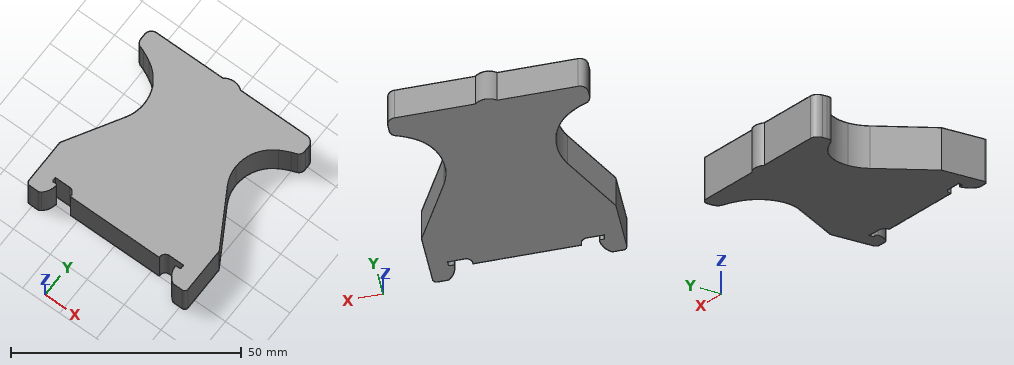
import cadquery as cq
import math

length = 46.4
width = 44.5
thickness = 10.0

head_y = 45.55
head_corner_radius = 1.85
head_side_low_y = 42.45
head_under_x = 21.35
head_under_y = 40.82
head_under_mid_x = 22.0
head_under_mid_y = 41.43
head_root_x = 19.95
head_root_y = 40.3
bump_half_width = 2.4

throat_half_width = 12.45
throat_y = 30.45
upper_waist_radius = 9.95
upper_waist_angle = math.radians(61)
head_blend_mid_x = 18.75
head_blend_mid_y = 39.75
lower_waist_radius = 9.75
lower_waist_angle = math.radians(30)

base_half_width = 21.55
base_side_top_y = 12.15
foot_corner_radius = 0.95
foot_flat_end_x = 18.4
foot_toe_mid_x = 18.05
foot_toe_mid_y = 0.1
foot_toe_x = 17.7
foot_toe_y = 0.32
foot_curve_mid_x = 16.6
foot_curve_mid_y = 1.65
hook_tip_x = 16.05
hook_tip_y = 3.45
hook_top_y = 3.8
hook_tip_radius = 0.32

recess_outer_x = 17.35
recess_top_y = 4.85
recess_root_radius = 0.3
recess_inner_x = 12.05
recess_corner_radius = 1.45
base_bottom_y = 3.2

diagonal = math.sqrt(0.5)


def waist_point(radius, angle):
    """Point on a waist arc, with the angle measured from the throat."""
    center_x = throat_half_width + radius
    return center_x - radius * math.cos(angle), throat_y + radius * math.sin(angle)


def corner_point(center_x, center_y, radius, x_sign, y_sign):
    """Middle of a quarter-circle corner."""
    return center_x + x_sign * radius * diagonal, center_y + y_sign * radius * diagonal


def half_outline():
    """Closed outline of the +X half of the plate."""
    half_width = width / 2
    head_arc_x = half_width - head_corner_radius
    head_arc_y = head_y - head_corner_radius
    foot_arc_x = base_half_width - foot_corner_radius
    recess_arc_x = recess_inner_x + recess_corner_radius
    recess_arc_y = recess_top_y - recess_corner_radius
    root_arc_x = recess_outer_x - recess_root_radius
    root_arc_y = hook_top_y + recess_root_radius
    tip_arc_x = hook_tip_x + hook_tip_radius
    tip_arc_y = hook_top_y - hook_tip_radius

    bump_height = length - head_y
    bump_radius = (bump_half_width**2 + bump_height**2) / (2 * bump_height)
    bump_mid_x = bump_half_width / 2
    bump_mid_y = length - bump_radius + math.sqrt(bump_radius**2 - bump_mid_x**2)

    head = (
        cq.Workplane("XY")
        .moveTo(0, length)
        .threePointArc((bump_mid_x, bump_mid_y), (bump_half_width, head_y))
        .lineTo(head_arc_x, head_y)
        .threePointArc(
            corner_point(head_arc_x, head_arc_y, head_corner_radius, 1, 1), (half_width, head_arc_y)
        )
        .lineTo(half_width, head_side_low_y)
        .threePointArc((head_under_mid_x, head_under_mid_y), (head_under_x, head_under_y))
    )
    waist = (
        head.lineTo(head_root_x, head_root_y)
        .threePointArc(
            (head_blend_mid_x, head_blend_mid_y), waist_point(upper_waist_radius, upper_waist_angle)
        )
        .threePointArc(
            waist_point(upper_waist_radius, upper_waist_angle / 2), (throat_half_width, throat_y)
        )
        .threePointArc(
            waist_point(lower_waist_radius, -lower_waist_angle / 2),
            waist_point(lower_waist_radius, -lower_waist_angle),
        )
        .lineTo(base_half_width, base_side_top_y)
    )
    foot = (
        waist.lineTo(base_half_width, foot_corner_radius)
        .threePointArc(
            corner_point(foot_arc_x, foot_corner_radius, foot_corner_radius, 1, -1), (foot_arc_x, 0)
        )
        .lineTo(foot_flat_end_x, 0)
        .threePointArc((foot_toe_mid_x, foot_toe_mid_y), (foot_toe_x, foot_toe_y))
        .threePointArc((foot_curve_mid_x, foot_curve_mid_y), (hook_tip_x, hook_tip_y))
        .lineTo(hook_tip_x, tip_arc_y)
        .threePointArc(
            corner_point(tip_arc_x, tip_arc_y, hook_tip_radius, -1, 1), (tip_arc_x, hook_top_y)
        )
    )
    recess = (
        foot.lineTo(root_arc_x, hook_top_y)
        .threePointArc(
            corner_point(root_arc_x, root_arc_y, recess_root_radius, 1, -1),
            (recess_outer_x, root_arc_y),
        )
        .lineTo(recess_outer_x, recess_top_y)
        .lineTo(recess_arc_x, recess_top_y)
        .threePointArc(
            corner_point(recess_arc_x, recess_arc_y, recess_corner_radius, -1, 1),
            (recess_inner_x, recess_arc_y),
        )
        .lineTo(recess_inner_x, base_bottom_y)
    )
    return recess.lineTo(0, base_bottom_y).close()


right_half = half_outline().extrude(thickness)
left_half = right_half.mirror("YZ")
result = right_half.union(left_half, clean=True)